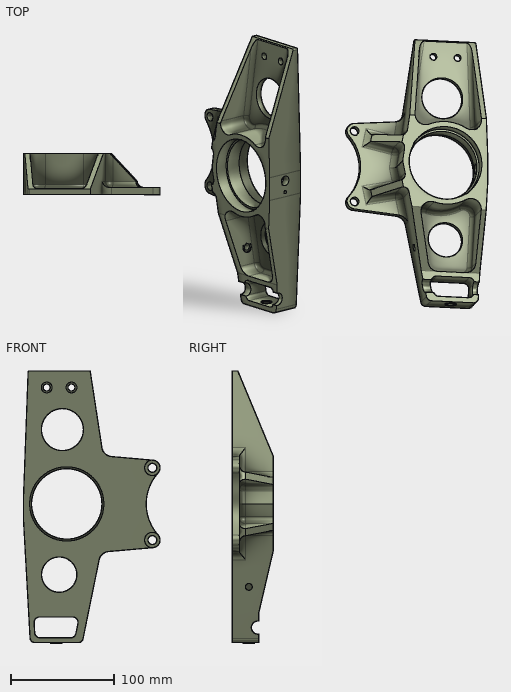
import cadquery as cq
import math


BODY_DEPTH = 40.0
TOP_Z = 129.0
BOTTOM_Z = -134.5
TOP_LEFT_X = -37.5
TOP_RIGHT_X = 22.8
RIGHT_APEX_X = 42.5
LEFT_FLAT_X = -42.0
LEFT_FLAT_TOP_Z = 7.0
LEFT_FLAT_BOTTOM_Z = -16.0
BOTTOM_LEFT_X = -35.4
BOTTOM_RIGHT_X = 15.1
TOP_LEFT_CORNER_R = 1.5
BOTTOM_CORNER_R = 5.0

TOP_EDGE_DEPTH = 5.5
UPPER_SLOPE_Z = 46.0
LOWER_SLOPE_Z = -45.0
FOOT_DEPTH = 26.0
FOOT_Z = -105.0

ARM_THICKNESS = 7.0
LUG_X = 82.95
LUG_Z = 35.0
LUG_R = 7.5
LUG_HOLE_D = 8.4
LUG_PAD_HEIGHT = 0.1
ARM_TAPER = math.radians(5)
ARM_ROOT_X = 25.0
ARM_CORNER_R = 10.0
RELIEF_R = 45.0

RIB_ANGLE = 11.6
RIB_THICKNESS = 7.0
RIB_OUTER_X = 45.0
RIB_OUTER_Z = 26.3
RIB_LENGTH = 22.5
RIB_SLOPE_RUN = 25.8
RIB_FILLET_R = 6.0
RIB_BURIED_LENGTH = 12.0

HOUSING_R = 41.0
SEAT_R = 36.0
SEAT_DEPTH = 12.5
LAND_R = 34.0

WALL = 5.0
LOWER_RIGHT_WALL = 8.0
FLOOR = 6.0
POCKET_CORNER_R = 10.0
POCKET_FLOOR_R = 4.0

UPPER_HOLE_X = -4.2
UPPER_HOLE_Z = 72.0
UPPER_HOLE_R = 20.25
LOWER_HOLE_X = -7.3
LOWER_HOLE_Z = -68.5
LOWER_HOLE_R = 17.0
WINDOW_TOP_Z = -109.7
WINDOW_BOTTOM_Z = -129.6
WINDOW_CORNER_R = 5.0

SCREW_D = 6.6
SPOT_D = 10.4
SPOT_DEPTH = 0.5
TOP_SCREW_Z = 112.8
TOP_SCREW_XS = (-19.4, 4.6)
SCREW_AXIS_Y = 16.2
SIDE_SCREW_Z = -80.4
FOOT_SCREW_X = -10.2
FOOT_PAD_D = 11.0
FOOT_PAD_HEIGHT = 0.7

SENSOR_HOLE_D = 9.5
SENSOR_HOLE_Z = 0.0
MID_DEPTH = BODY_DEPTH / 2
PIN_HOLE_D = 3.0
PIN_HOLE_Z = -11.4

NOTCH_R = 6.3
NOTCH_Y = 25.0
NOTCH_Z = -119.8

CLEARANCE = 20.0


def plane_at(depth):
    """XZ sketch plane at the given Y; negative extrusions run towards +Y."""
    return cq.Workplane("XZ", origin=(0, depth, 0))


def cylinder_y(x, z, radius, start, end):
    return plane_at(start).center(x, z).circle(radius).extrude(start - end)


def cylinder_x(y, z, diameter, start, end):
    plane = cq.Workplane("YZ", origin=(start, y, z))
    return plane.circle(diameter / 2).extrude(end - start)


def cylinder_z(x, y, diameter, start, end):
    plane = cq.Workplane("XY", origin=(x, y, start))
    return plane.circle(diameter / 2).extrude(end - start)


def edge_x(upper, lower, z, inset=0.0):
    """X at height z on the line through two (X, Z) points, shifted sideways by the normal inset."""
    slope = (upper[0] - lower[0]) / (upper[1] - lower[1])
    return lower[0] + slope * (z - lower[1]) + inset * math.hypot(1, slope)


TOP_LEFT = (TOP_LEFT_X, TOP_Z)
TOP_RIGHT = (TOP_RIGHT_X, TOP_Z)
RIGHT_APEX = (RIGHT_APEX_X, 0)
BOTTOM_RIGHT = (BOTTOM_RIGHT_X, BOTTOM_Z)
BOTTOM_LEFT = (BOTTOM_LEFT_X, BOTTOM_Z)
LEFT_FLAT_BOTTOM = (LEFT_FLAT_X, LEFT_FLAT_BOTTOM_Z)
LEFT_FLAT_TOP = (LEFT_FLAT_X, LEFT_FLAT_TOP_Z)
BODY_OUTLINE = [
    TOP_LEFT, TOP_RIGHT, RIGHT_APEX, BOTTOM_RIGHT, BOTTOM_LEFT, LEFT_FLAT_BOTTOM, LEFT_FLAT_TOP,
]


def make_body():
    body = plane_at(0).polyline(BODY_OUTLINE).close().extrude(-BODY_DEPTH)
    body = body.faces(">Z").edges("|Y and <X").fillet(TOP_LEFT_CORNER_R)
    return body.faces("<Z").edges("|Y").fillet(BOTTOM_CORNER_R)


def make_arm():
    """Arm with rounded lugs and a concave end that runs tangent into both lugs."""
    relief_x = LUG_X + math.sqrt((RELIEF_R + LUG_R) ** 2 - LUG_Z ** 2)
    taper_x = LUG_X + LUG_R * math.sin(ARM_TAPER)
    taper_z = LUG_Z + LUG_R * math.cos(ARM_TAPER)
    root_z = taper_z + (taper_x - ARM_ROOT_X) * math.tan(ARM_TAPER)
    blend = LUG_R / (RELIEF_R + LUG_R)
    blend_x = LUG_X + (relief_x - LUG_X) * blend
    blend_z = LUG_Z * (1 - blend)
    return (
        plane_at(0)
        .moveTo(ARM_ROOT_X, root_z)
        .lineTo(taper_x, taper_z)
        .threePointArc((LUG_X + LUG_R, LUG_Z), (blend_x, blend_z))
        .threePointArc((relief_x - RELIEF_R, 0), (blend_x, -blend_z))
        .threePointArc((LUG_X + LUG_R, -LUG_Z), (taper_x, -taper_z))
        .lineTo(ARM_ROOT_X, -root_z)
        .close()
        .extrude(-BODY_DEPTH)
    )


def make_outline_prism():
    """Full-depth prism of the whole front outline, arm included."""
    prism = make_body().union(make_arm())
    corners = cq.selectors.BoxSelector((30, -1, -60), (40, BODY_DEPTH + 1, 60))
    return prism.edges("|Y").edges(corners).fillet(ARM_CORNER_R)


def rib_frame(solid):
    """Place a solid built along +X at the outer face of the upper rib."""
    turned = solid.rotate((0, 0, 0), (0, 1, 0), -RIB_ANGLE)
    return turned.translate((RIB_OUTER_X, 0, RIB_OUTER_Z))


def make_rib():
    length = RIB_LENGTH + RIB_BURIED_LENGTH
    rib = cq.Workplane("XY").box(length, BODY_DEPTH, RIB_THICKNESS, centered=False)
    return rib_frame(rib.translate((-RIB_BURIED_LENGTH, 0, -RIB_THICKNESS)))


def make_rib_slope():
    """Wedge that bevels the rib from its full depth down to the top of the foot fillet."""
    low = ARM_THICKNESS + RIB_FILLET_R
    far_end = RIB_LENGTH + CLEARANCE
    points = [
        (RIB_LENGTH, low),
        (RIB_LENGTH - RIB_SLOPE_RUN, BODY_DEPTH),
        (far_end, BODY_DEPTH),
        (far_end, low),
    ]
    wedge = cq.Workplane("XY").polyline(points).close().extrude(CLEARANCE, both=True)
    return rib_frame(wedge)


def make_blank():
    """Body and ribs standing on an oversized arm plate, trimmed to the front outline."""
    rib = make_rib()
    blank = make_body().union(rib).union(rib.mirror("XY"))
    roots = cq.selectors.BoxSelector((36, -1, -35), (44, BODY_DEPTH + 1, 35))
    blank = blank.edges("|Y").edges(roots)
    blank = blank.filter(lambda edge: abs(edge.Center().z) > 1).fillet(RIB_FILLET_R)
    plate = cq.Workplane("XY").box(80, ARM_THICKNESS, 116, centered=(False, False, True))
    blank = blank.union(plate.translate((20, 0, 0)))
    foot = cq.selectors.BoxSelector((25, ARM_THICKNESS - 0.1, -56), (80, ARM_THICKNESS + 0.1, 56))
    blank = blank.edges(foot).fillet(RIB_FILLET_R)
    slope = make_rib_slope()
    blank = blank.cut(slope).cut(slope.mirror("XY"))
    return blank.intersect(make_outline_prism())


def make_depth_profile():
    points = [
        (0, TOP_Z),
        (TOP_EDGE_DEPTH, TOP_Z),
        (BODY_DEPTH, UPPER_SLOPE_Z),
        (BODY_DEPTH, LOWER_SLOPE_Z),
        (FOOT_DEPTH, FOOT_Z),
        (FOOT_DEPTH, BOTTOM_Z),
        (0, BOTTOM_Z),
    ]
    span = 2 * (LUG_X + LUG_R)
    return cq.Workplane("YZ").polyline(points).close().extrude(span / 2, both=True)


def make_pocket(left_edge, right_edge, right_wall, end_z):
    """Pocket between the side walls, from the bearing housing to end_z."""
    corners = [
        (edge_x(*left_edge, 0, WALL), 0),
        (edge_x(*left_edge, end_z, WALL), end_z),
        (edge_x(*right_edge, end_z, -right_wall), end_z),
        (edge_x(*right_edge, 0, -right_wall), 0),
    ]
    pocket = plane_at(FLOOR).polyline(corners).close().extrude(-BODY_DEPTH)
    pocket = pocket.cut(cylinder_y(0, 0, HOUSING_R, 0, 2 * BODY_DEPTH))
    pocket = pocket.edges("|Y").fillet(POCKET_CORNER_R)
    return pocket.faces("<Y").edges().fillet(POCKET_FLOOR_R)


def make_window():
    left_edge = (LEFT_FLAT_BOTTOM, BOTTOM_LEFT)
    right_edge = (RIGHT_APEX, BOTTOM_RIGHT)
    corners = [
        (edge_x(*left_edge, WINDOW_TOP_Z, WALL), WINDOW_TOP_Z),
        (edge_x(*right_edge, WINDOW_TOP_Z, -LOWER_RIGHT_WALL), WINDOW_TOP_Z),
        (edge_x(*right_edge, WINDOW_BOTTOM_Z, -LOWER_RIGHT_WALL), WINDOW_BOTTOM_Z),
        (edge_x(*left_edge, WINDOW_BOTTOM_Z, WALL), WINDOW_BOTTOM_Z),
    ]
    window = plane_at(0).polyline(corners).close().extrude(-BODY_DEPTH)
    return window.edges("|Y").fillet(WINDOW_CORNER_R)


def cut_bearing_bore(part):
    part = part.cut(cylinder_y(0, 0, LAND_R, 0, BODY_DEPTH))
    part = part.cut(cylinder_y(0, 0, SEAT_R, 0, SEAT_DEPTH))
    return part.cut(cylinder_y(0, 0, SEAT_R, BODY_DEPTH - SEAT_DEPTH, BODY_DEPTH))


def cut_radial_holes(part):
    for diameter, z in ((SENSOR_HOLE_D, SENSOR_HOLE_Z), (PIN_HOLE_D, PIN_HOLE_Z)):
        part = part.cut(cylinder_x(MID_DEPTH, z, diameter, LEFT_FLAT_X, 0))
    return part


def cut_top_screws(part):
    for x in TOP_SCREW_XS:
        part = part.cut(cylinder_y(x, TOP_SCREW_Z, SCREW_D / 2, 0, BODY_DEPTH))
        part = part.cut(cylinder_y(x, TOP_SCREW_Z, SPOT_D / 2, 0, SPOT_DEPTH))
    return part


def cut_side_screw(part):
    """Screw hole through the lower right wall, spot-faced on the pocket side."""
    outer_x = edge_x(RIGHT_APEX, BOTTOM_RIGHT, SIDE_SCREW_Z)
    inner_x = edge_x(RIGHT_APEX, BOTTOM_RIGHT, SIDE_SCREW_Z, -LOWER_RIGHT_WALL)
    part = part.cut(cylinder_x(SCREW_AXIS_Y, SIDE_SCREW_Z, SCREW_D, 0, outer_x + WALL))
    return part.cut(cylinder_x(SCREW_AXIS_Y, SIDE_SCREW_Z, SPOT_D, 0, inner_x + SPOT_DEPTH))


def add_foot_screw(part):
    """Screw hole through the bottom wall with an outer pad and an inner spot face."""
    pad_z = BOTTOM_Z - FOOT_PAD_HEIGHT
    part = part.union(cylinder_z(FOOT_SCREW_X, SCREW_AXIS_Y, FOOT_PAD_D, pad_z, BOTTOM_Z))
    part = part.cut(cylinder_z(FOOT_SCREW_X, SCREW_AXIS_Y, SCREW_D, pad_z, WINDOW_BOTTOM_Z))
    spot_z = WINDOW_BOTTOM_Z - SPOT_DEPTH
    return part.cut(cylinder_z(FOOT_SCREW_X, SCREW_AXIS_Y, SPOT_D, spot_z, WINDOW_BOTTOM_Z))


def add_lugs(part):
    for z in (-LUG_Z, LUG_Z):
        part = part.union(cylinder_y(LUG_X, z, LUG_R, -LUG_PAD_HEIGHT, 0))
        part = part.cut(cylinder_y(LUG_X, z, LUG_HOLE_D / 2, -LUG_PAD_HEIGHT, ARM_THICKNESS))
    return part


def make_notch():
    span = 2 * abs(LEFT_FLAT_X)
    notch = cq.Workplane("YZ").center(NOTCH_Y, NOTCH_Z).circle(NOTCH_R).extrude(span, both=True)
    mouth = cq.Workplane("YZ").center(NOTCH_Y + NOTCH_R, NOTCH_Z).rect(2 * NOTCH_R, 2 * NOTCH_R)
    return notch.union(mouth.extrude(span, both=True))


def build_part():
    part = make_blank().intersect(make_depth_profile())
    upper_edges = ((TOP_LEFT, LEFT_FLAT_TOP), (TOP_RIGHT, RIGHT_APEX))
    lower_edges = ((LEFT_FLAT_BOTTOM, BOTTOM_LEFT), (RIGHT_APEX, BOTTOM_RIGHT))
    part = part.cut(make_pocket(*upper_edges, WALL, TOP_Z + CLEARANCE))
    part = part.cut(make_pocket(*lower_edges, LOWER_RIGHT_WALL, FOOT_Z))
    part = part.cut(cylinder_y(UPPER_HOLE_X, UPPER_HOLE_Z, UPPER_HOLE_R, 0, FLOOR + POCKET_FLOOR_R))
    part = part.cut(cylinder_y(LOWER_HOLE_X, LOWER_HOLE_Z, LOWER_HOLE_R, 0, FLOOR + POCKET_FLOOR_R))
    part = part.cut(make_window())
    part = part.cut(make_notch())
    part = cut_bearing_bore(part)
    part = cut_radial_holes(part)
    part = cut_top_screws(part)
    part = cut_side_screw(part)
    part = add_foot_screw(part)
    return add_lugs(part)


result = build_part()